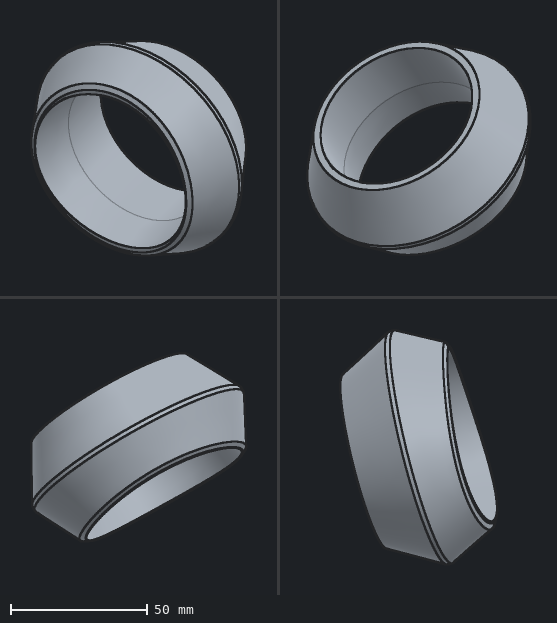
import cadquery as cq

shoulder_radius = 44.05
back_radius = 33.0
shoulder_start = 20.3
shoulder_width = 1.85
front_slope = 0.51

bore_radius = 30.1
bore_mouth_radius = 32.7
length = 40.8

saddle_radius = 220.3
saddle_apex = 38.3
edge_chamfer = 1.4

blank_length = length + 2.6
shoulder_end = shoulder_start + shoulder_width


def revolve_about_y(points):
    """Revolve a closed outline of (radius, y) points about the Y axis."""
    outline = cq.Workplane("XY").polyline(points).close()
    return outline.revolve(360, (0, 0, 0), (0, 1, 0))


def make_body():
    front_radius = shoulder_radius - front_slope * (blank_length - shoulder_end)
    return revolve_about_y([
        (0, 0),
        (back_radius, 0),
        (shoulder_radius, -shoulder_start),
        (shoulder_radius, -shoulder_end),
        (front_radius, -blank_length),
        (0, -blank_length),
    ])


def make_saddle_cutter():
    return (
        cq.Workplane("XY", origin=(0, -saddle_apex - saddle_radius, -shoulder_radius))
        .circle(saddle_radius)
        .extrude(2 * shoulder_radius)
    )


def make_bore_cutter():
    flare_slope = (bore_mouth_radius - bore_radius) / (length - shoulder_end)
    blank_mouth_radius = bore_radius + flare_slope * (blank_length - shoulder_end)
    return revolve_about_y([
        (0, 0),
        (bore_radius, 0),
        (bore_radius, -shoulder_end),
        (blank_mouth_radius, -blank_length),
        (0, -blank_length),
    ])


saddled_body = make_body().cut(make_saddle_cutter())
chamfered_body = saddled_body.faces("<Y").edges().chamfer(edge_chamfer)
result = chamfered_body.cut(make_bore_cutter())